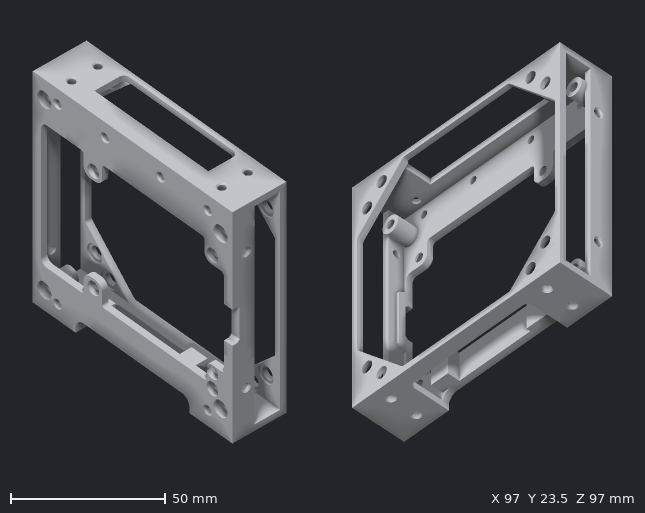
import cadquery as cq
import math

SIZE = 97.0
DEPTH = 23.5
WALL = 2.7
BACK_INNER = DEPTH - WALL
SIDE_WALL_DEPTH = 9.6

RIM = 4.0
WINDOW_BOTTOM = 18.6
WINDOW_TOP = SIZE - WINDOW_BOTTOM
TAB_LEFT = 24.7
TAB_RIGHT = 33.7
TAB_TIP_LOW = 27.9
TAB_TIP_HIGH = SIZE - TAB_TIP_LOW
STEP_HIGH_X = 83.4
STEP_LOW_X = 84.6
STEP_LOW_Z = 27.0
TAB_RADIUS = 3.4
ROOT_RADIUS = 1.3
CORNER_RADIUS = 2.9
STEP_LOW_RADIUS = 2.3
STEP_INNER_RADIUS = 1.7

REAR_RIM = 2.3
GUSSET_REACH = 26.2
GUSSET_RADIUS = 1.9
GUSSET_HOLES = [(6.9, 13.5), (13.8, 6.4)]
GUSSET_HOLE_RADIUS = 2.4
GUSSET_SEAT_RADIUS = 3.7
GUSSET_SEAT_DEPTH = 0.8

SLOT_LENGTH = 55.3
SLOT_RADIUS = 2.3
TOP_SLOT_FRONT = 8.2
TOP_SLOT_BACK = 21.2
BOTTOM_SLOT_BACK = 17.75
NOTCH_HEIGHT = 6.2
NOTCH_RADIUS = 3.9

BORE_RADIUS = 1.8
TAB_SCREWS = [(29.5, 24.0), (29.5, 73.0), (87.3, 24.0), (87.3, 73.0), (87.3, 17.1)]
TAB_SEAT_RADIUS = 2.8
TAB_SEAT_DEPTH = 1.9
BOSS_SCREWS = [(5.6, 8.5), (5.6, 88.5), (91.3, 11.1), (91.3, 84.6)]
BOSS_RADIUS = 3.7
BOSS_END = 11.7
BOSS_SEAT_RADIUS = 3.4
BOSS_SEAT_DEPTH = 2.4

SMALL_RADIUS = 1.6
SMALL_CHAMFER = 0.5
SMALL_INSET = 12.0
SMALL_FRONT_Z = 6.6
SMALL_MIDDLE_INSET = 35.0
SMALL_TOP_Y = [6.2, 17.7]
SMALL_SIDE_Y = 6.1
SMALL_SIDE_Z = 20.1

RECESS_HALF = 7.6
RECESS_DEPTH = 3.2
RECESS_CHAMFER = 1.2
BULGE_DEPTH = 6.1
BULGE_HALF = 11.2
BULGE_SLOPE = 1.9

BLOCK_LEFT = 68.4
BLOCK_BACK = 8.0

PAD_OVERHANG = 1.6
PAD_BACK = 4.5

CENTRE = SIZE / 2


def box(x0, x1, y0, y1, z0, z1):
    """Axis-aligned box between two opposite corners."""
    return cq.Workplane("XY").box(x1 - x0, y1 - y0, z1 - z0, centered=False).translate((x0, y0, z0))


def cylinder_y(x, z, radius, y0, y1):
    """Cylinder along Y between two depths."""
    return cq.Workplane("XZ", origin=(x, y0, z)).circle(radius).extrude(y0 - y1)


def rounded_prism(corners, y0, y1):
    """Prism along Y from (x, z, radius) corners, each rounded by its own radius."""
    arcs = []
    count = len(corners)
    for i in range(count):
        x, z, radius = corners[i]
        corner = cq.Vector(x, z)
        before = cq.Vector(*corners[i - 1][:2]) - corner
        after = cq.Vector(*corners[(i + 1) % count][:2]) - corner
        before = before.normalized()
        after = after.normalized()
        half_angle = before.getAngle(after) / 2
        tangent = radius / math.tan(half_angle)
        to_middle = radius / math.sin(half_angle) - radius
        middle = corner + (before + after).normalized() * to_middle
        arcs.append([(p.x, p.y) for p in (corner + before * tangent, middle, corner + after * tangent)])
    outline = cq.Workplane("XZ", origin=(0, y0, 0)).moveTo(*arcs[0][2])
    for start, middle, end in arcs[1:] + arcs[:1]:
        outline = outline.lineTo(*start).threePointArc(middle, end)
    return outline.close().extrude(y0 - y1)


def both_ends(value):
    """A coordinate and its mirror image about the middle of the frame."""
    return [value, SIZE - value]


def shell():
    """Frame with an open interior and open sides behind the side walls."""
    body = box(0, SIZE, 0, DEPTH, 0, SIZE)
    body = body.cut(box(WALL, SIZE - WALL, WALL, BACK_INNER, WALL, SIZE - WALL))
    return body.cut(box(0, SIZE, SIDE_WALL_DEPTH, BACK_INNER, WALL, SIZE - WALL))


def front_window():
    right = SIZE - RIM
    return rounded_prism(
        [
            (RIM, WINDOW_BOTTOM, CORNER_RADIUS),
            (TAB_LEFT, WINDOW_BOTTOM, ROOT_RADIUS),
            (TAB_LEFT, TAB_TIP_LOW, TAB_RADIUS),
            (TAB_RIGHT, TAB_TIP_LOW, TAB_RADIUS),
            (TAB_RIGHT, WINDOW_BOTTOM, ROOT_RADIUS),
            (STEP_LOW_X, WINDOW_BOTTOM, ROOT_RADIUS),
            (STEP_LOW_X, STEP_LOW_Z, STEP_LOW_RADIUS),
            (right, STEP_LOW_Z, STEP_INNER_RADIUS),
            (right, TAB_TIP_HIGH, STEP_INNER_RADIUS),
            (STEP_HIGH_X, TAB_TIP_HIGH, TAB_RADIUS),
            (STEP_HIGH_X, WINDOW_TOP, ROOT_RADIUS),
            (TAB_RIGHT, WINDOW_TOP, ROOT_RADIUS),
            (TAB_RIGHT, TAB_TIP_HIGH, TAB_RADIUS),
            (TAB_LEFT, TAB_TIP_HIGH, TAB_RADIUS),
            (TAB_LEFT, WINDOW_TOP, ROOT_RADIUS),
            (RIM, WINDOW_TOP, CORNER_RADIUS),
        ],
        0,
        WALL,
    )


def rear_window():
    bottom = WALL
    far = SIZE - REAR_RIM
    near_end = GUSSET_REACH - REAR_RIM
    far_end = SIZE - near_end
    bottom_end = GUSSET_REACH - bottom
    outline = [
        (bottom_end, bottom),
        (SIZE - bottom_end, bottom),
        (far, near_end),
        (far, far_end),
        (far_end, far),
        (near_end, far),
        (REAR_RIM, far_end),
        (REAR_RIM, near_end),
    ]
    return rounded_prism([(x, z, GUSSET_RADIUS) for x, z in outline], BACK_INNER, DEPTH)


def gusset_holes():
    """Two seated holes in each rear corner."""
    cuts = cq.Workplane("XY")
    for inset_x, inset_z in GUSSET_HOLES:
        for x in both_ends(inset_x):
            for z in both_ends(inset_z):
                cuts = cuts.union(cylinder_y(x, z, GUSSET_HOLE_RADIUS, BACK_INNER, DEPTH))
                seat_end = BACK_INNER + GUSSET_SEAT_DEPTH
                cuts = cuts.union(cylinder_y(x, z, GUSSET_SEAT_RADIUS, BACK_INNER, seat_end))
    return cuts


def wall_slots():
    """Top slot, bottom slot open to the front, and the arched notch above it."""
    left = CENTRE - SLOT_LENGTH / 2
    right = CENTRE + SLOT_LENGTH / 2
    top_slot = box(left, right, TOP_SLOT_FRONT, TOP_SLOT_BACK, SIZE - WALL, SIZE)
    top_slot = top_slot.edges("|Z and >Y").fillet(SLOT_RADIUS)
    bottom_slot = box(left, right, 0, BOTTOM_SLOT_BACK, 0, WALL)
    bottom_slot = bottom_slot.edges("|Z and >Y").fillet(SLOT_RADIUS)
    notch = box(left, right, 0, WALL, 0, NOTCH_HEIGHT)
    notch = notch.edges("|Y and >Z").fillet(NOTCH_RADIUS)
    return top_slot.union(bottom_slot).union(notch)


def bosses():
    """Round bosses behind the outer screw holes."""
    solids = cq.Workplane("XY")
    for x, z in BOSS_SCREWS:
        solids = solids.union(cylinder_y(x, z, BOSS_RADIUS, 0, BOSS_END))
    return solids


def screw_holes(places, seat_radius, seat_depth, end):
    cuts = cq.Workplane("XY")
    for x, z in places:
        cuts = cuts.union(cylinder_y(x, z, BORE_RADIUS, 0, end))
        cuts = cuts.union(cylinder_y(x, z, seat_radius, 0, seat_depth))
    return cuts


def small_hole(point, inward):
    """Countersunk hole through one wall, entering at a point on the outer face."""
    start = cq.Vector(*point)
    direction = cq.Vector(*inward)
    bore = cq.Solid.makeCylinder(SMALL_RADIUS, WALL, start, direction)
    sink = cq.Solid.makeCone(SMALL_RADIUS + SMALL_CHAMFER, SMALL_RADIUS, SMALL_CHAMFER, start, direction)
    return bore.fuse(sink)


def small_holes():
    holes = []
    for x in both_ends(SMALL_INSET):
        for z in both_ends(SMALL_FRONT_Z):
            holes.append(small_hole((x, 0, z), (0, 1, 0)))
        for y in SMALL_TOP_Y:
            holes.append(small_hole((x, y, SIZE), (0, 0, -1)))
            holes.append(small_hole((x, y, 0), (0, 0, 1)))
    for x in both_ends(SMALL_MIDDLE_INSET):
        holes.append(small_hole((x, 0, SIZE - SMALL_FRONT_Z), (0, 1, 0)))
    for z in both_ends(SMALL_SIDE_Z):
        holes.append(small_hole((0, SMALL_SIDE_Y, z), (1, 0, 0)))
        holes.append(small_hole((SIZE, SMALL_SIDE_Y, z), (-1, 0, 0)))
    return holes


def rim_profile(points):
    """Prism across the right rim, from (y, z) points measured from its middle height."""
    plane = cq.Workplane("YZ", origin=(SIZE - RIM, 0, CENTRE))
    return plane.polyline(points).close().extrude(RIM)


def rim_bulge():
    foot = BULGE_HALF + BULGE_SLOPE
    return rim_profile([(0, -foot), (WALL, -foot), (BULGE_DEPTH, -BULGE_HALF),
                        (BULGE_DEPTH, BULGE_HALF), (WALL, foot), (0, foot)])


def rim_recess():
    shoulder = RECESS_DEPTH - RECESS_CHAMFER
    floor_half = RECESS_HALF - RECESS_CHAMFER
    return rim_profile([(0, -RECESS_HALF), (shoulder, -RECESS_HALF), (RECESS_DEPTH, -floor_half),
                        (RECESS_DEPTH, floor_half), (shoulder, RECESS_HALF), (0, RECESS_HALF)])


def slot_block():
    right = CENTRE + SLOT_LENGTH / 2
    return box(BLOCK_LEFT, right, WALL, BLOCK_BACK, NOTCH_HEIGHT, WINDOW_BOTTOM)


def tab_pad():
    left = TAB_LEFT - PAD_OVERHANG
    right = TAB_RIGHT + PAD_OVERHANG
    return box(left, right, WALL, PAD_BACK, NOTCH_HEIGHT, WINDOW_BOTTOM)


body = shell().cut(front_window()).cut(rear_window()).cut(gusset_holes())
body = body.union(bosses()).union(rim_bulge()).union(slot_block()).union(tab_pad())
body = body.cut(wall_slots()).cut(rim_recess())
body = body.cut(screw_holes(TAB_SCREWS, TAB_SEAT_RADIUS, TAB_SEAT_DEPTH, WALL))
body = body.cut(screw_holes(BOSS_SCREWS, BOSS_SEAT_RADIUS, BOSS_SEAT_DEPTH, BOSS_END))
for hole in small_holes():
    body = body.cut(cq.Workplane(obj=hole))
result = body